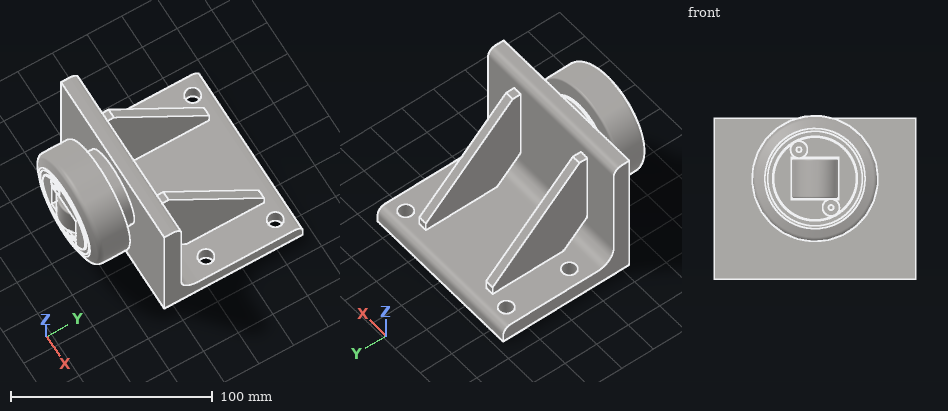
import cadquery as cq
import math

width = 100.0
leg = 80.0
thickness = 10.0
corner_radius = 10.0
toe_radius = 5.1

rib_thickness = 5.2
rib_spacing = 53.0
rib_reach = 70.1
rib_land = 15.0
rib_corner_cut = 25.0

hole_diameter = 8.4
hole_spacing = 80.0
hole_rows = (30.1, 70.1)

axis_height = width / 2
neck_diameter = 42.1
neck_length = 6.9
shoulder_diameter = 42.0
roller_diameter = 62.4
roller_crown = 0.1
roller_back = 7.8
back_round = 1.3
rim_start = 23.3
rim_round = 3.0
cone_angle = math.radians(21.5)
rim_face_diameter = 49.7
seal_diameter = 47.0
seal_recess = 0.2

cover_diameter = 42.0
cover_front = 28.2
cover_chamfer = 0.4

window_width = 23.3
window_height = 21.0
side_roller_diameter = 23.6
side_roller_length = 19.9
side_roller_round = 1.1
side_roller_front = 30.5

screw_diameter = 8.4
screw_front = 28.4
screw_offset_x = 8.0
screw_offset_z = 14.4
socket_diameter = 2.5
socket_depth = 0.5


def make_bracket():
    """L-profile with rounded toes and a filleted inside corner, drilled in the floor leg."""
    floor_end = thickness + corner_radius
    profile = (
        cq.Workplane("YZ")
        .lineTo(leg, 0)
        .lineTo(leg, thickness - toe_radius)
        .radiusArc((leg - toe_radius, thickness), -toe_radius)
        .lineTo(floor_end, thickness)
        .radiusArc((thickness, floor_end), corner_radius)
        .lineTo(thickness, leg - toe_radius)
        .radiusArc((thickness - toe_radius, leg), -toe_radius)
        .lineTo(0, leg)
        .close()
    )
    bracket = profile.extrude(width / 2, both=True)
    hole_points = [(side * hole_spacing / 2, y) for side in (-1, 1) for y in hole_rows]
    holes = cq.Workplane("XY").pushPoints(hole_points).circle(hole_diameter / 2).extrude(thickness)
    return bracket.cut(holes)


def make_rib(center_x):
    """Sloped gusset that leaves the inside corner of the bracket open."""
    return (
        cq.Workplane("YZ", origin=(center_x, 0, 0))
        .moveTo(thickness, rib_corner_cut)
        .lineTo(thickness, rib_reach)
        .lineTo(rib_land, rib_reach)
        .lineTo(rib_reach, rib_land)
        .lineTo(rib_reach, thickness)
        .lineTo(rib_corner_cut, thickness)
        .close()
        .extrude(rib_thickness / 2, both=True)
    )


def front_cylinder(diameter, back, front, x=0, z=0):
    """Cylinder along -Y between two depths, offset from the main roller axis."""
    plane = cq.Workplane("XZ", origin=(x, -back, axis_height + z))
    return plane.circle(diameter / 2).extrude(front - back)


def make_roller():
    """Slightly crowned roller with its neck, drawn as radius against depth and revolved."""
    crown_radius = roller_diameter / 2
    roller_radius = crown_radius - roller_crown
    crown_middle = (roller_back + back_round + rim_start) / 2
    rim_face_radius = rim_face_diameter / 2
    arc_center = roller_radius - rim_round
    arc_middle = (math.pi / 2 - cone_angle) / 2
    cone_radius = arc_center + rim_round * math.sin(cone_angle)
    cone_start = rim_start + rim_round * math.cos(cone_angle)
    rim_front = cone_start + (cone_radius - rim_face_radius) * math.tan(cone_angle)
    profile = (
        cq.Workplane(cq.Plane(origin=(0, 0, axis_height), xDir=(1, 0, 0), normal=(0, 0, -1)))
        .lineTo(neck_diameter / 2, 0)
        .lineTo(neck_diameter / 2, neck_length)
        .lineTo(shoulder_diameter / 2, neck_length)
        .lineTo(shoulder_diameter / 2, roller_back)
        .lineTo(roller_radius - back_round, roller_back)
        .radiusArc((roller_radius, roller_back + back_round), -back_round)
        .threePointArc((crown_radius, crown_middle), (roller_radius, rim_start))
        .threePointArc(
            (arc_center + rim_round * math.cos(arc_middle), rim_start + rim_round * math.sin(arc_middle)),
            (cone_radius, cone_start),
        )
        .lineTo(rim_face_radius, rim_front)
        .lineTo(seal_diameter / 2, rim_front)
        .lineTo(seal_diameter / 2, rim_front - seal_recess)
        .lineTo(0, rim_front - seal_recess)
        .close()
    )
    return profile.revolve(360, (0, 0, 0), (0, 1, 0))


def add_cover(body):
    """Cover disc, the side roller in its window and the two socket screws."""
    cover = front_cylinder(cover_diameter, roller_back, cover_front).faces("<Y").chamfer(cover_chamfer)
    side_roller_depth = side_roller_front - side_roller_diameter / 2
    window = (
        cq.Workplane("XZ", origin=(0, -side_roller_depth, axis_height))
        .rect(window_width, window_height)
        .extrude(side_roller_diameter)
    )
    side_roller = (
        cq.Workplane("XY", origin=(0, -side_roller_depth, axis_height))
        .circle(side_roller_diameter / 2)
        .extrude(side_roller_length / 2, both=True)
        .faces("<Z or >Z")
        .edges()
        .fillet(side_roller_round)
    )
    body = body.union(cover).cut(window).union(side_roller)
    for side in (-1, 1):
        x = side * screw_offset_x
        z = -side * screw_offset_z
        body = body.union(front_cylinder(screw_diameter, roller_back, screw_front, x, z))
        body = body.cut(front_cylinder(socket_diameter, screw_front - socket_depth, screw_front, x, z))
    return body


result = make_bracket()
for rib_side in (-1, 1):
    result = result.union(make_rib(rib_side * rib_spacing / 2))
result = result.union(add_cover(make_roller()))